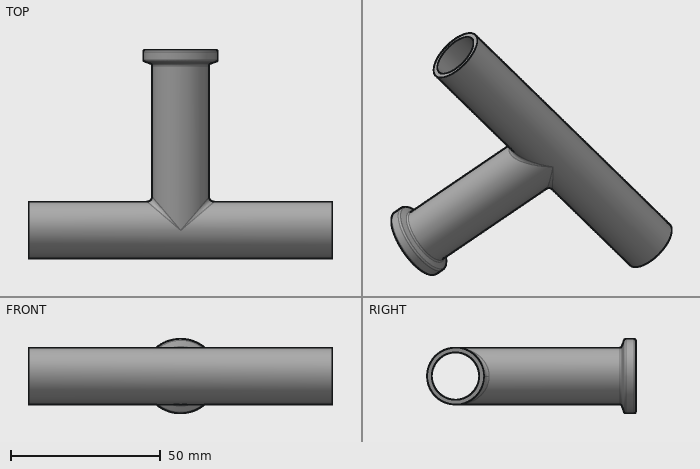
import cadquery as cq
import math

tube_diameter = 19.1
bore_diameter = 15.7
run_length = 101.6
tube_radius = tube_diameter / 2
bore_radius = bore_diameter / 2

branch_length = 60.4
weld_fillet = 1.6

flange_diameter = 25.0
rim_width = 3.9
back_angle = 20.0
rim_fillet = 0.7
neck_fillet = 0.6
neck_length = 2.0
flange_radius = flange_diameter / 2
back_depth = (flange_radius - tube_radius) * math.tan(math.radians(back_angle))
rim_back_y = branch_length - rim_width
neck_y = rim_back_y - back_depth
neck_end_y = neck_y - neck_length


def rod_along_x(radius):
    return cq.Workplane("YZ").circle(radius).extrude(run_length / 2, both=True)


def rod_along_y(radius):
    return cq.Workplane("XZ").circle(radius).extrude(-branch_length)


def solid_tee():
    """Equal tee with a weld fillet along the seam of the two tubes."""
    tee = rod_along_x(tube_radius).union(rod_along_y(tube_radius))
    return tee.edges("%ELLIPSE").fillet(weld_fillet)


def solid_ferrule():
    """Clamp flange with a sloping back, turned around the branch axis."""
    flange = (
        cq.Workplane("XY")
        .moveTo(0, branch_length)
        .lineTo(flange_radius, branch_length)
        .lineTo(flange_radius, rim_back_y)
        .lineTo(tube_radius, neck_y)
        .lineTo(tube_radius, neck_end_y)
        .lineTo(0, neck_end_y)
        .close()
        .revolve(360, (0, 0, 0), (0, 1, 0))
    )
    flange = flange.faces("%CONE").edges("<Y").fillet(neck_fillet)
    flange = flange.faces("%CONE").edges(">Y").fillet(rim_fillet)
    return flange.faces(">Y").edges().fillet(rim_fillet)


outer = solid_tee().union(solid_ferrule())
result = outer.cut(rod_along_x(bore_radius)).cut(rod_along_y(bore_radius))